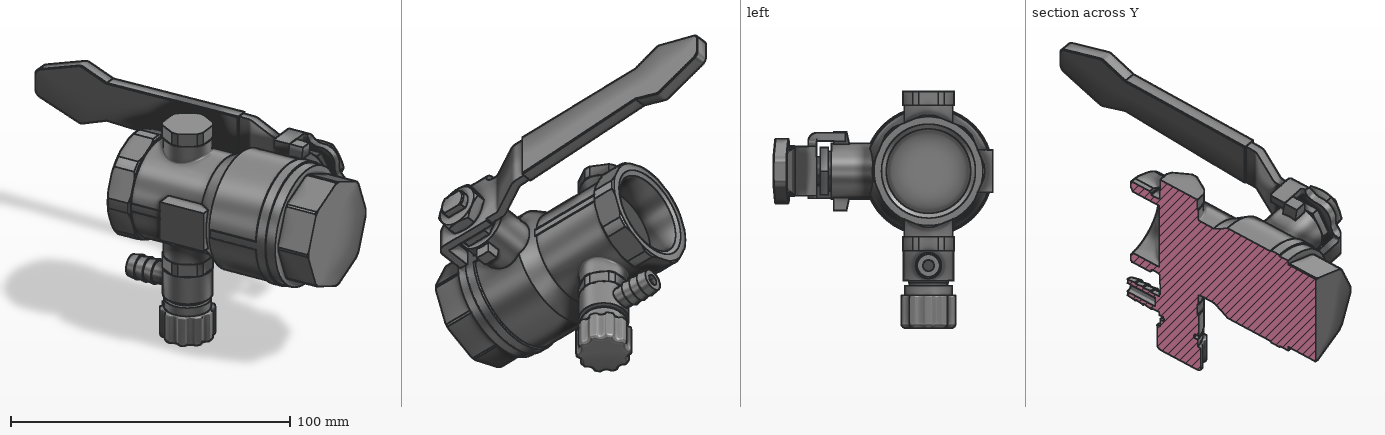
import cadquery as cq
import math


inlet_x = -21.9
inlet_octagon_end_x = -12.4
cone_start_x = 15.8
cone_end_x = 22.0
band_start_x = 41.9
band_end_x = 45.5
shoulder_end_x = 49.5
outlet_x = 62.0
body_diameter = 37.2
ball_chamber_diameter = 45.0
band_diameter = 46.0
band_chamfer = 0.53
octagon_flats = 38.5
inlet_corner_diameter = 40.2
outlet_corner_diameter = 41.2
inlet_chamfer = 0.6
outlet_chamfer = 0.3
bore_diameter = 30.2
bore_depth = 12.9
bore_mouth_diameter = 33.6
bore_lead_in = 1.0

rib_width = 3.1
rib_body_radius = 18.9
rib_chamber_start_x = 22.8
pad_start_x = 2.0
pad_end_x = 20.2
pad_width = 15.2

port_diameter = 17.5
port_end_z = 23.5
port_fillet = 0.8
port_hex_flats = 16.9
port_hex_corner_diameter = 18.3
plug_top_z = 28.5
drain_hex_end_z = -28.5
drain_body_end_z = -39.2
drain_body_diameter = 18.0
drain_step_end_z = -40.0
drain_step_diameter = 14.3
drain_neck_diameter = 13.6
collar_top_z = -41.0
collar_diameter = 17.0
knob_top_z = -44.3
knob_bottom_z = -56.3
knob_diameter = 20.0
knob_edge = 1.9
knob_top_edge = 0.6
flute_count = 10
flute_radius = 2.2
flute_depth = 1.1
flute_edge_fillet = 0.5

hose_z = -33.8
hose_end_x = -23.3
hose_root_diameter = 8.0
hose_barb_diameter = 9.3
hose_bore_diameter = 4.0
hose_bore_depth = 12.4
barb_length = 3.5
barb_count = 3

stem_x = 27.9
stem_diameter = 20.0
stem_end_y = 34.7
gland_ring_diameter = 14.3
gland_hex_start_y = 35.8
gland_hex_end_y = 38.8
gland_hex_flats = 16.9
spindle_diameter = 10.4
spindle_end_y = 50.7
spindle_flats = 6.8
spindle_chamfer = 0.5
nut_end_y = 47.9
nut_flats = 16.1
nut_chamfer_diameter = 16.0
lug_width = 5.6
lug_top_y = 34.0
lug_root_y = 28.4
lug_tip_y = 29.3
lug_reach = 14.1

sheet = 3.1
plate_bottom_y = 40.0
plate_top_y = plate_bottom_y + sheet
plate_half = 9.8
plate_corner_radius = 5.9
tab_reach = 13.8
tab_inner_edge = -3.0
tab_end_y = 29.8
tab_notch_x = 2.5
tab_notch_radius = 3.9
tab_fillet = 0.8
plate_gusset_radius = 2.5
inner_bend_radius = 0.3
bend_radius = sheet + inner_bend_radius
blade_half_width = 8.8
crank_low_x = 13.0
crank_high_x = -1.4
crank_inner_radius = 3.1
blade_top_y = 51.3
grip_tip_x = -92.9
grip_tip_y = 55.57
grip_tilt = 1.95
grip_thickness = 5.0
grip_length = 86.0
grip_tip_half = 5.0
grip_wide_at = 19.4
grip_wide_half = 11.8
grip_waist_at = 30.4
grip_waist_half = 7.6
grip_end_half = 9.0
grip_tip_radius = 3.1
grip_wide_radius = 2.8
grip_chamfer = 0.3


def rod_x(x_start, x_end, diameter, z=0.0):
    """Cylinder along X at height z."""
    return cq.Workplane("YZ", origin=(x_start, 0, z)).circle(diameter / 2).extrude(x_end - x_start)


def rod_z(z_start, z_end, diameter):
    """Cylinder along Z on the side port axis."""
    return cq.Workplane("XY", origin=(0, 0, z_start)).circle(diameter / 2).extrude(z_end - z_start)


def stem_plane(y):
    """Plane across the stem; local axes are X and -Z, extrusion goes along +Y."""
    return cq.Workplane(cq.Plane(origin=(stem_x, y, 0), xDir=(1, 0, 0), normal=(0, 1, 0)))


def rod_stem(y_start, y_end, diameter):
    """Cylinder along Y on the stem axis."""
    return stem_plane(y_start).circle(diameter / 2).extrude(y_end - y_start)


def across_corners(flats, sides):
    """Corner-to-corner diameter of a regular polygon with an even number of sides."""
    return flats / math.cos(math.pi / sides)


def box(x_range, y_range, z_range):
    """Box from its low and high limits on each axis."""
    size = [high - low for low, high in (x_range, y_range, z_range)]
    corner = (x_range[0], y_range[0], z_range[0])
    return cq.Workplane("XY").box(*size, centered=False).translate(corner)


def octagon_end(x_start, x_end, corner_diameter, chamfer):
    """Wrench octagon with corners turned down to a cylinder and chamfered at both ends."""
    octagon = (
        cq.Workplane("YZ", origin=(x_start, 0, 0))
        .polygon(8, across_corners(octagon_flats, 8))
        .extrude(x_end - x_start)
    )
    return octagon.intersect(rod_x(x_start, x_end, corner_diameter).edges().chamfer(chamfer))


def make_body():
    body_radius = body_diameter / 2
    chamber_radius = ball_chamber_diameter / 2
    band_radius = band_diameter / 2
    profile = [
        (inlet_octagon_end_x, 0),
        (inlet_octagon_end_x, body_radius),
        (cone_start_x, body_radius),
        (cone_end_x, chamber_radius),
        (band_start_x - band_chamfer, chamber_radius),
        (band_start_x, band_radius),
        (band_end_x, band_radius),
        (band_end_x, chamber_radius),
        (shoulder_end_x, chamber_radius),
        (shoulder_end_x, 0),
    ]
    body = cq.Workplane("XY").polyline(profile).close().revolve(360, (0, 0, 0), (1, 0, 0))
    inlet = octagon_end(inlet_x, inlet_octagon_end_x, inlet_corner_diameter, inlet_chamfer)
    outlet = octagon_end(shoulder_end_x, outlet_x, outlet_corner_diameter, outlet_chamfer)
    return body.union(inlet).union(outlet)


def make_ribs():
    """Raised parting strips on the -Y and +Y sides of the body and the ball chamber."""
    half_width = rib_width / 2
    strip = box(
        (inlet_octagon_end_x, band_start_x),
        (-band_diameter, band_diameter),
        (-half_width, half_width),
    )
    envelope = rod_x(inlet_octagon_end_x, rib_chamber_start_x, 2 * rib_body_radius)
    envelope = envelope.union(rod_x(rib_chamber_start_x, band_start_x, band_diameter))
    return strip.intersect(envelope)


def make_pad():
    return box((pad_start_x, pad_end_x), (-band_diameter / 2, 0), (-pad_width / 2, pad_width / 2))


def make_inlet_bore():
    """Blind bore with a conical lead-in."""
    bore_radius = bore_diameter / 2
    mouth_radius = bore_mouth_diameter / 2
    profile = [
        (inlet_x, 0),
        (inlet_x, mouth_radius),
        (inlet_x + bore_lead_in, bore_radius),
        (inlet_x + bore_depth, bore_radius),
        (inlet_x + bore_depth, 0),
    ]
    return cq.Workplane("XY").polyline(profile).close().revolve(360, (0, 0, 0), (1, 0, 0))


def port_hex(z_start, z_end):
    """Hexagon with corners toward +Y and -Y, turned down to a cylinder."""
    hexagon = (
        cq.Workplane("XY", origin=(0, 0, z_start))
        .transformed(rotate=(0, 0, 90))
        .polygon(6, across_corners(port_hex_flats, 6))
        .extrude(z_end - z_start)
    )
    return hexagon.intersect(rod_z(z_start, z_end, port_hex_corner_diameter))


def make_knob():
    """Hand knob with flutes around its rim."""
    knob = rod_z(knob_bottom_z, knob_top_z, knob_diameter)
    flutes = (
        cq.Workplane("XY", origin=(0, 0, knob_bottom_z))
        .polarArray(knob_diameter / 2 + flute_radius - flute_depth, -90, 360, flute_count)
        .circle(flute_radius)
        .extrude(knob_top_z - knob_bottom_z)
    )
    knob = knob.cut(flutes).edges("|Z").fillet(flute_edge_fillet)
    knob = knob.faces("<Z").edges().fillet(knob_edge)
    return knob.faces(">Z").edges().fillet(knob_top_edge)


def make_drain():
    drain = port_hex(drain_hex_end_z, -port_end_z)
    drain = drain.union(rod_z(drain_body_end_z, drain_hex_end_z, drain_body_diameter))
    drain = drain.union(rod_z(drain_step_end_z, drain_body_end_z, drain_step_diameter))
    drain = drain.union(rod_z(collar_top_z, drain_step_end_z, drain_neck_diameter))
    drain = drain.union(rod_z(knob_top_z, collar_top_z, collar_diameter))
    return drain.union(make_knob())


def make_hose_tail():
    """Barbed hose tail; every barb widens away from the open end and then steps back."""
    tail = rod_x(hose_end_x, 0, hose_root_diameter, hose_z)
    for index in range(barb_count):
        barb_x = hose_end_x + index * barb_length
        barb = (
            cq.Workplane("YZ", origin=(barb_x, 0, hose_z))
            .circle(hose_root_diameter / 2)
            .workplane(offset=barb_length)
            .circle(hose_barb_diameter / 2)
            .loft()
        )
        tail = tail.union(barb)
    return tail


def make_stem():
    stem = rod_stem(0, stem_end_y, stem_diameter)
    stem = stem.union(rod_stem(stem_end_y, gland_hex_start_y, gland_ring_diameter))
    gland_hex = (
        stem_plane(gland_hex_start_y)
        .polygon(6, across_corners(gland_hex_flats, 6))
        .extrude(gland_hex_end_y - gland_hex_start_y)
    )
    return stem.union(gland_hex)


def make_spindle():
    """Spindle with two flats, carrying the lever and its nut."""
    spindle = rod_stem(gland_hex_end_y, spindle_end_y, spindle_diameter)
    spindle = spindle.faces(">Y").edges().chamfer(spindle_chamfer)
    flat_zone = stem_plane(plate_bottom_y).rect(2 * spindle_diameter, spindle_flats)
    flat_zone = flat_zone.extrude(spindle_end_y - plate_bottom_y)
    round_zone = rod_stem(gland_hex_end_y, plate_bottom_y, spindle_diameter)
    return spindle.intersect(flat_zone.union(round_zone))


def make_nut():
    """Hex nut with 30 degree corner chamfers on both faces."""
    corner_diameter = across_corners(nut_flats, 6)
    drop = (corner_diameter - nut_chamfer_diameter) / 2 * math.tan(math.radians(30))
    hexagon = stem_plane(plate_top_y).polygon(6, corner_diameter).extrude(nut_end_y - plate_top_y)
    profile = [
        (0, plate_top_y),
        (nut_chamfer_diameter / 2, plate_top_y),
        (corner_diameter / 2, plate_top_y + drop),
        (corner_diameter / 2, nut_end_y - drop),
        (nut_chamfer_diameter / 2, nut_end_y),
        (0, nut_end_y),
    ]
    turned = cq.Workplane("XY").polyline(profile).close().revolve(360, (0, 0, 0), (0, 1, 0))
    return hexagon.intersect(turned.translate((stem_x, 0, 0)))


def make_stop_lugs():
    """Tapered stop lugs on the +Z and -Z sides of the stem."""
    profile = [
        (lug_top_y, 0),
        (lug_root_y, 0),
        (lug_root_y, stem_diameter / 2),
        (lug_tip_y, lug_reach),
        (lug_top_y, lug_reach),
    ]
    lug = (
        cq.Workplane("YZ", origin=(stem_x - lug_width / 2, 0, 0))
        .polyline(profile)
        .close()
        .extrude(lug_width)
    )
    return lug.union(lug.mirror("XY"))


def make_stop_tab():
    """Tab on the +Z edge of the lever plate, bent down toward the body, with a rounded notch beside it."""
    bend_z = tab_reach - bend_radius
    bend_y = plate_top_y - bend_radius
    diagonal = math.sqrt(0.5)
    profile = (
        cq.Workplane("YZ", origin=(stem_x - plate_half, 0, 0))
        .moveTo(plate_top_y, 0)
        .lineTo(plate_top_y, bend_z)
        .threePointArc(
            (bend_y + bend_radius * diagonal, bend_z + bend_radius * diagonal),
            (bend_y, tab_reach),
        )
        .lineTo(tab_end_y, tab_reach)
        .lineTo(tab_end_y, tab_reach - sheet)
        .lineTo(bend_y, tab_reach - sheet)
        .threePointArc(
            (bend_y + inner_bend_radius * diagonal, bend_z + inner_bend_radius * diagonal),
            (plate_bottom_y, bend_z),
        )
        .lineTo(plate_bottom_y, 0)
        .close()
    )
    tab = profile.extrude(tab_notch_x + plate_half)
    narrowing = box(
        (stem_x + tab_inner_edge, stem_x + tab_notch_x),
        (tab_end_y, bend_y),
        (0, tab_reach),
    )
    narrowing = narrowing.edges("|Z and <X and >Y").fillet(tab_fillet)
    tab = tab.cut(narrowing)
    tab = tab.faces("<Y").edges("|Z").fillet(tab_fillet)
    notch_z = plate_half + tab_notch_radius
    notch_height = plate_top_y - tab_end_y
    notch = stem_plane(tab_end_y).center(tab_notch_x, -notch_z).circle(tab_notch_radius).extrude(notch_height)
    return tab.cut(notch)


def make_gusset():
    """Concave fillet in the corner between the blade edge and the side of the upper stop tab."""
    tab_side_x = stem_x - plate_half
    center_x = tab_side_x - plate_gusset_radius
    center_z = blade_half_width + plate_gusset_radius
    block = box((center_x, tab_side_x), (plate_bottom_y, plate_top_y), (blade_half_width, center_z))
    cutter = stem_plane(plate_bottom_y).center(center_x - stem_x, -center_z).circle(plate_gusset_radius)
    return block.cut(cutter.extrude(sheet))


def make_plate():
    """Flat lever plate around the spindle, rounded at its free corner, with two stop tabs."""
    size = 2 * plate_half
    plate = stem_plane(plate_bottom_y).rect(size, size).extrude(sheet)
    plate = plate.edges(">X and >Z").fillet(plate_corner_radius)
    top_tab = make_stop_tab()
    stem_base = (stem_x, 0, 0)
    stem_tip = (stem_x, 1, 0)
    end_tab = top_tab.mirror("XY").rotate(stem_base, stem_tip, -90)
    return plate.union(top_tab).union(end_tab).union(make_gusset())


def make_blade():
    """Cranked strip from the plate up into the grip."""
    rise_angle = math.atan2(blade_top_y - plate_top_y, crank_low_x - crank_high_x)
    corner_shift = sheet * math.tan(rise_angle / 2)
    plate_edge_x = stem_x - plate_half
    grip_x = grip_tip_x + grip_length - sheet
    grip_rise = (crank_high_x - grip_x) * math.tan(math.radians(grip_tilt))
    top_line = [
        (plate_edge_x, plate_top_y),
        (crank_low_x, plate_top_y),
        (crank_high_x, blade_top_y),
        (grip_x, blade_top_y + grip_rise),
    ]
    bottom_line = [
        (grip_x, blade_top_y + grip_rise - sheet),
        (crank_high_x - corner_shift, blade_top_y - sheet),
        (crank_low_x - corner_shift, plate_bottom_y),
        (plate_edge_x, plate_bottom_y),
    ]
    blade = cq.Workplane("XY").polyline(top_line + bottom_line).close()
    blade = blade.extrude(blade_half_width, both=True)
    outer_radius = crank_inner_radius + sheet
    bends = [
        (top_line[1], crank_inner_radius),
        (top_line[2], outer_radius),
        (bottom_line[1], crank_inner_radius),
        (bottom_line[2], outer_radius),
    ]
    for (x, y), radius in bends:
        blade = blade.edges("|Z").edges(cq.selectors.NearestToPointSelector((x, y, 0))).fillet(radius)
    return blade


def make_grip():
    """Paddle-shaped grip, tilted about the top edge of its tip."""
    upper_edge = [
        (0, grip_tip_half),
        (grip_wide_at, grip_wide_half),
        (grip_waist_at, grip_waist_half),
        (grip_length, grip_end_half),
    ]
    lower_edge = [(along, -half) for along, half in reversed(upper_edge)]
    grip = cq.Workplane("XZ").polyline(upper_edge + lower_edge).close().extrude(grip_thickness)
    grip = grip.edges("|Y").edges("<X").fillet(grip_tip_radius)
    grip = grip.edges("|Y").edges(">Z or <Z").fillet(grip_wide_radius)
    grip = grip.faces("<Y or >Y").edges().chamfer(grip_chamfer)
    grip = grip.rotate((0, 0, 0), (0, 0, 1), -grip_tilt)
    return grip.translate((grip_tip_x, grip_tip_y, 0))


def make_ports():
    """Side port bosses blended into the body, with the blanking plug on top."""
    tee = rod_x(inlet_octagon_end_x, cone_start_x, body_diameter)
    tee = tee.union(rod_z(-port_end_z, port_end_z, port_diameter))
    boss_box = cq.selectors.BoxSelector(
        (-port_diameter, -port_diameter, -port_end_z + 1.5),
        (port_diameter, port_diameter, port_end_z - 1.5),
    )
    tee = tee.edges(boss_box).edges("not %CIRCLE").edges("not %LINE").fillet(port_fillet)
    return tee.union(port_hex(port_end_z, plug_top_z))


result = make_body()
for feature in (
    make_ports(),
    make_ribs(),
    make_pad(),
    make_drain(),
    make_hose_tail(),
    make_stem(),
    make_spindle(),
    make_stop_lugs(),
    make_plate(),
    make_blade(),
    make_grip(),
    make_nut(),
):
    result = result.union(feature)

result = result.cut(make_inlet_bore())
result = result.cut(rod_x(hose_end_x, hose_end_x + hose_bore_depth, hose_bore_diameter, hose_z))